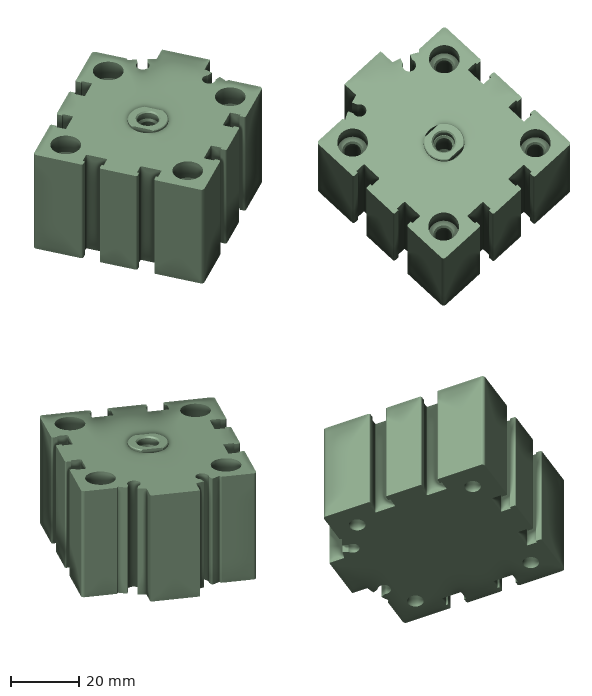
import cadquery as cq
import math


width = 53.0
half_width = width / 2
overall_depth = 60.5
housing_height = 34.6
corner_radius = 0.95

crown_radius = 30.0
crown_half_width = 15.3
crown_notch_width = 0.55
key_width = 15.0
key_top = overall_depth - half_width

slot_offset = 8.5
slot_mouth_width = 5.2
slot_inner_width = 6.55
slot_depth = 5.0
slot_lip_depth = 1.8
slot_mouth_radius = 0.5
slot_floor_radius = 0.3

groove_diameter = 4.0
groove_centre_radius = 26.9
groove_angle = 22.5
groove_neck_width = 3.0

mount_spacing = 38.0
mount_hole_diameter = 4.9
mount_countersink_diameter = 6.0
mount_bore_diameter = 9.0
mount_bore_depth = 6.0

rod_diameter = 12.0
rod_projection = 0.9
rod_seat_depth = 18.15
rod_chamfer = 0.25
rod_flat_distance = 10.05
rod_flat_length = 3.0

rod_mouth_diameter = 7.25
rod_bore_diameter = 6.4
rod_bore_depth = 2.5
rod_countersink_diameter = 6.0
rod_drill_diameter = 4.9
rod_drill_depth = 10.9
drill_point_angle = 118.0

rod_top = housing_height + rod_projection
rod_bottom = housing_height - rod_seat_depth


def crown_height(x):
    """Y of the crown arc at a given X."""
    return math.sqrt(crown_radius**2 - x**2)


def housing_block():
    """Square block with the arched crown and the key on its +Y side."""
    key_x = key_width / 2
    arc_middle_x = (key_x + crown_half_width) / 2
    shoulder_x = crown_half_width + crown_notch_width
    outline = (
        cq.Workplane("XY")
        .moveTo(-half_width, -half_width)
        .lineTo(half_width, -half_width)
        .lineTo(half_width, half_width)
        .lineTo(shoulder_x, half_width)
        .lineTo(crown_half_width, crown_height(crown_half_width))
        .threePointArc((arc_middle_x, crown_height(arc_middle_x)), (key_x, crown_height(key_x)))
        .lineTo(key_x, key_top)
        .lineTo(-key_x, key_top)
        .lineTo(-key_x, crown_height(key_x))
        .threePointArc(
            (-arc_middle_x, crown_height(arc_middle_x)),
            (-crown_half_width, crown_height(crown_half_width)),
        )
        .lineTo(-shoulder_x, half_width)
        .lineTo(-half_width, half_width)
        .close()
    )
    block = outline.extrude(housing_height)
    return block.edges("|Z and (<X or >X)").fillet(corner_radius)


def t_slot():
    """Cutter for one T-slot in the -Y side, centred on X = 0, with a rounded mouth."""
    mouth_x = slot_mouth_width / 2
    inner_x = slot_inner_width / 2
    flare_x = mouth_x + slot_mouth_radius
    face_y = -half_width
    straight_y = face_y + slot_mouth_radius
    lip_y = face_y + slot_lip_depth
    floor_y = face_y + slot_depth
    arc_inset = slot_mouth_radius * (1 - math.sqrt(0.5))
    outline = (
        cq.Workplane("XY")
        .moveTo(-flare_x, face_y)
        .lineTo(flare_x, face_y)
        .threePointArc((mouth_x + arc_inset, face_y + arc_inset), (mouth_x, straight_y))
        .lineTo(mouth_x, lip_y)
        .lineTo(inner_x, lip_y)
        .lineTo(inner_x, floor_y)
        .lineTo(-inner_x, floor_y)
        .lineTo(-inner_x, lip_y)
        .lineTo(-mouth_x, lip_y)
        .lineTo(-mouth_x, straight_y)
        .threePointArc((-mouth_x - arc_inset, face_y + arc_inset), (-flare_x, face_y))
        .close()
    )
    return outline.extrude(housing_height).edges("|Z and >Y").fillet(slot_floor_radius)


def sensor_groove():
    """Cutter for a round groove with a narrower neck, opening toward +Y."""
    neck_length = crown_radius - groove_centre_radius + groove_diameter
    bore = (
        cq.Workplane("XY")
        .center(0, groove_centre_radius)
        .circle(groove_diameter / 2)
        .extrude(housing_height)
    )
    neck = (
        cq.Workplane("XY")
        .center(0, groove_centre_radius + neck_length / 2)
        .rect(groove_neck_width, neck_length)
        .extrude(housing_height)
    )
    return bore.union(neck)


def mounting_hole():
    """Cutter for a counterbored through hole with a countersunk step, on the Z axis."""
    hole_r = mount_hole_diameter / 2
    countersink_r = mount_countersink_diameter / 2
    bore_r = mount_bore_diameter / 2
    step_z = housing_height - mount_bore_depth
    countersink_z = step_z - (countersink_r - hole_r)
    half_section = cq.Workplane("XZ").polyline([
        (0, 0),
        (hole_r, 0),
        (hole_r, countersink_z),
        (countersink_r, step_z),
        (bore_r, step_z),
        (bore_r, housing_height),
        (0, housing_height),
    ]).close()
    return half_section.revolve(360, (0, 0), (0, 1))


def make_housing():
    """Housing with its slots, grooves, mounting holes and the seat for the rod."""
    body = housing_block()
    for side_angle in (-90, 0, 90):
        for offset in (-slot_offset, slot_offset):
            slot = t_slot().translate((offset, 0, 0))
            body = body.cut(slot.rotate((0, 0, 0), (0, 0, 1), side_angle))
    for angle in (-groove_angle, groove_angle):
        body = body.cut(sensor_groove().rotate((0, 0, 0), (0, 0, 1), angle))
    for x in (-mount_spacing / 2, mount_spacing / 2):
        for y in (-mount_spacing / 2, mount_spacing / 2):
            body = body.cut(mounting_hole().translate((x, y, 0)))
    rod_seat = (
        cq.Workplane("XY", origin=(0, 0, rod_bottom))
        .circle(rod_diameter / 2)
        .extrude(rod_seat_depth)
    )
    return body.cut(rod_seat)


def rod_hole():
    """Cutter for the chamfered, stepped and countersunk blind hole in the rod end, with a drill point."""
    mouth_r = rod_mouth_diameter / 2
    bore_r = rod_bore_diameter / 2
    countersink_r = rod_countersink_diameter / 2
    drill_r = rod_drill_diameter / 2
    bore_z = rod_top - rod_bore_depth
    drill_z = rod_top - rod_drill_depth
    point_z = drill_z - drill_r / math.tan(math.radians(drill_point_angle / 2))
    half_section = cq.Workplane("XZ").polyline([
        (0, point_z),
        (drill_r, drill_z),
        (drill_r, bore_z - (countersink_r - drill_r)),
        (countersink_r, bore_z),
        (bore_r, bore_z),
        (bore_r, rod_top - (mouth_r - bore_r)),
        (mouth_r, rod_top),
        (0, rod_top),
    ]).close()
    return half_section.revolve(360, (0, 0), (0, 1))


def make_rod():
    """Round rod with two wrench flats that run into the housing seat and a hole in its end."""
    rod = (
        cq.Workplane("XY", origin=(0, 0, rod_bottom))
        .circle(rod_diameter / 2)
        .extrude(rod_top - rod_bottom)
        .faces(">Z")
        .chamfer(rod_chamfer)
    )
    flat_cut_width = (rod_diameter - rod_flat_distance) / 2
    for side in (-1, 1):
        flat_cut = cq.Workplane("XY").box(
            rod_diameter, flat_cut_width, rod_flat_length, centered=(True, True, False)
        )
        flat_y = side * (rod_flat_distance + flat_cut_width) / 2
        rod = rod.cut(flat_cut.translate((0, flat_y, rod_top - rod_flat_length)))
    return rod.cut(rod_hole())


housing = make_housing()
rod = make_rod()

result = cq.Compound.makeCompound([housing.val(), rod.val()])